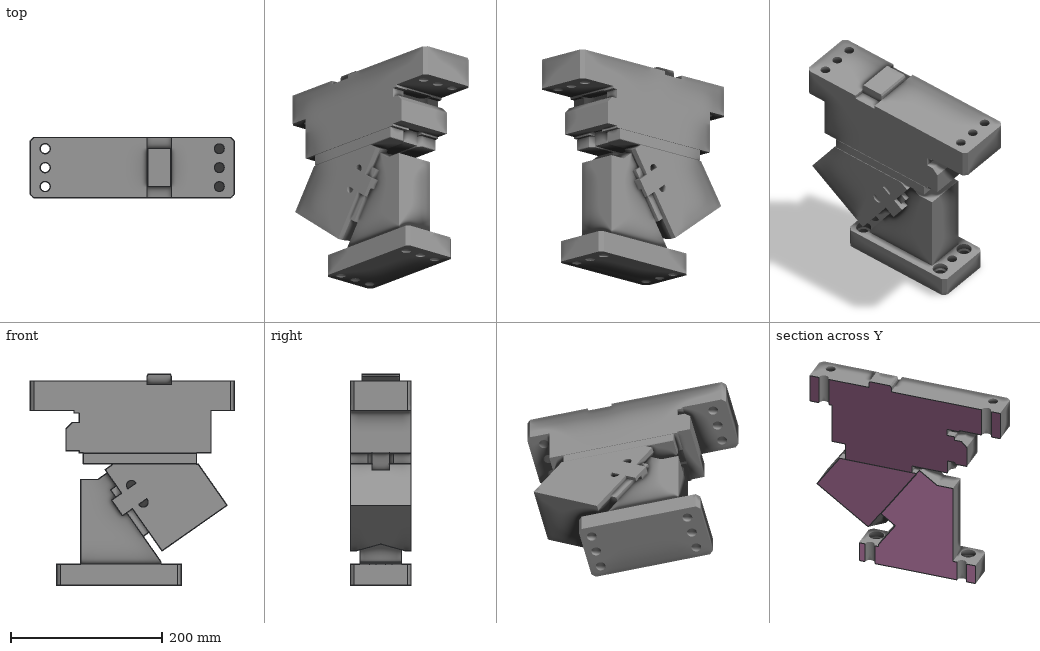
import cadquery as cq
import math


WIDTH = 80.0
HALF_WIDTH = WIDTH / 2
CORNER_CHAMFER = 5.0
BOLT_DIA = 13.0
BOLT_Y = 25.0
SEAT_ANGLE = math.radians(55)

BASE_X = 35.0
BASE_LENGTH = 165.0
BASE_HEIGHT = 28.0
BASE_HOLE_LEFT_INSET = 20.0
BASE_HOLE_RIGHT_INSET = 15.0
COUNTERBORE_DIA = 20.0
COUNTERBORE_DEPTH = 8.0
WEDGE_X = 66.8
WEDGE_END_X = 173.0
WEDGE_TOP = 140.0
WEDGE_HALF_WIDTH = 27.5
SEAT_X = 88.9
SEAT_Z = 139.4
SLOPE_STEP = 6.7
RAIL_LENGTH = 96.0
FLANGE_START = 21.0
FLANGE_HALF_WIDTH = 33.8

LAND_HEIGHT = 16.0
V_HALF_WIDTH = 32.5
V_ANGLE = math.radians(26)
V_APEX_HEIGHT = LAND_HEIGHT + V_HALF_WIDTH * math.tan(V_ANGLE)

SLIDE_START = -5.0
SLIDE_END = 126.0
SLIDE_FAR_HEIGHT = 121.0
SLIDE_TOP = 160.0
LUG_START = 33.0
LUG_END = 58.0
LUG_INNER_Y = 34.8
HOOK_LENGTH = 13.0
HOOK_INNER_Y = 28.5
RELIEF_DIA = 13.0
RELIEF_HEIGHT = 32.6
RELIEF_OFFSET = 1.0
RELIEF_DEPTH = 12.0

PLATE_LENGTH = 270.0
PLATE_BOTTOM = 230.5
PLATE_TOP = 270.0
PLATE_HOLE_INSET = 20.0
BODY_X = 65.0
BODY_END_X = 239.0
BODY_BOTTOM = 175.0
LEDGE_X = 58.0
LEDGE_BOTTOM = 227.5
NOSE_X = 47.5
NOSE_BOTTOM = 177.5
NOSE_TOP = 215.0
NOSE_CHAMFER = 8.0
POCKET_HALF_WIDTH = 21.5
POCKET_RADIUS = 10.5
POCKET_TOP = 228.5
TAB_HEIGHT = 5.0
TAB_FOOT_HALF_WIDTH = 13.0
TAB_TOP_HALF_WIDTH = 10.0
KEY_X = 154.4
KEY_LENGTH = 32.3
KEY_WIDTH = 50.0
KEY_SLOT_FLOOR = 265.0
KEY_TOP = 279.0
KEY_CHAMFER_RUN = 1.5
KEY_CHAMFER_DROP = 3.0
STRIP_X = 70.0
STRIP_LENGTH = 150.0
STRIP_EDGE_CHAMFER = 0.7
STRIP_CORNER_CHAMFER = 5.5
KEEL_HALF_WIDTH = 11.5
KEEL_X = 75.0
KEEL_RECESS_TOP = 180.0
KEEL_NOSE_BOTTOM = 161.5
KEEL_BOTTOM = 152.0
KEEL_DEEP_X = 125.0

DOWN_SLOPE = cq.Vector(math.cos(SEAT_ANGLE), 0, -math.sin(SEAT_ANGLE))
OFF_SEAT = cq.Vector(math.sin(SEAT_ANGLE), 0, math.cos(SEAT_ANGLE))
SEAT_CORNER = cq.Vector(SEAT_X, 0, SEAT_Z)


def box(x0, x1, y0, y1, z0, z1):
    return cq.Workplane("XY").box(x1 - x0, y1 - y0, z1 - z0, centered=False).translate((x0, y0, z0))


def section_along_slope(start, end, points):
    """Extrude a section of (y, height off the seat) points down the slope."""
    plane = cq.Plane(origin=SEAT_CORNER + DOWN_SLOPE * start, xDir=(0, 1, 0), normal=DOWN_SLOPE)
    return cq.Workplane(plane).polyline(points).close().extrude(end - start)


def vertical_holes(x_places, y_places, diameter, z0, z1):
    points = [(x, y) for x in x_places for y in y_places]
    return cq.Workplane("XY", origin=(0, 0, z0)).pushPoints(points).circle(diameter / 2).extrude(z1 - z0)


def v_height(y):
    """Height of the V surface off the seat at a distance y from the plane of symmetry."""
    return V_APEX_HEIGHT - y * math.tan(V_ANGLE)


def make_base():
    base_end = BASE_X + BASE_LENGTH
    base = box(BASE_X, base_end, -HALF_WIDTH, HALF_WIDTH, 0, BASE_HEIGHT)
    base = base.edges("|Z").chamfer(CORNER_CHAMFER)
    hole_x = (BASE_X + BASE_HOLE_LEFT_INSET, base_end - BASE_HOLE_RIGHT_INSET)
    holes = vertical_holes(hole_x, (-BOLT_Y, 0, BOLT_Y), BOLT_DIA, 0, BASE_HEIGHT)
    floor_z = BASE_HEIGHT - COUNTERBORE_DEPTH
    counterbores = vertical_holes(hole_x, (-BOLT_Y, BOLT_Y), COUNTERBORE_DIA, floor_z, BASE_HEIGHT)
    return base.cut(holes).cut(counterbores)


def make_wedge():
    slope_top = SEAT_CORNER + OFF_SEAT * SLOPE_STEP
    slope_end_z = slope_top.z - (WEDGE_END_X - slope_top.x) * math.tan(SEAT_ANGLE)
    outline = [
        (WEDGE_X, BASE_HEIGHT),
        (WEDGE_X, WEDGE_TOP),
        (SEAT_X + (WEDGE_TOP - SEAT_Z) * math.tan(SEAT_ANGLE), WEDGE_TOP),
        (slope_top.x, slope_top.z),
        (WEDGE_END_X, slope_end_z),
        (WEDGE_END_X, BASE_HEIGHT),
    ]
    return cq.Workplane("XZ").polyline(outline).close().extrude(WEDGE_HALF_WIDTH, both=True)


def make_rail():
    shoulder = v_height(WEDGE_HALF_WIDTH)
    rail = section_along_slope(0, RAIL_LENGTH, [
        (-WEDGE_HALF_WIDTH, 0),
        (WEDGE_HALF_WIDTH, 0),
        (WEDGE_HALF_WIDTH, shoulder),
        (0, V_APEX_HEIGHT),
        (-WEDGE_HALF_WIDTH, shoulder),
    ])
    for side in (-1, 1):
        rail = rail.union(section_along_slope(FLANGE_START, RAIL_LENGTH, [
            (side * WEDGE_HALF_WIDTH, SLOPE_STEP),
            (side * FLANGE_HALF_WIDTH, SLOPE_STEP),
            (side * FLANGE_HALF_WIDTH, LAND_HEIGHT),
            (side * V_HALF_WIDTH, LAND_HEIGHT),
            (side * WEDGE_HALF_WIDTH, shoulder),
        ]))
    return rail


def make_driver():
    return make_base().union(make_wedge()).union(make_rail())


def make_lug(side):
    """Arm that reaches past the rail flange, with a short hook under it."""
    arm = section_along_slope(LUG_START, LUG_END, [
        (side * LUG_INNER_Y, 0),
        (side * HALF_WIDTH, 0),
        (side * HALF_WIDTH, LAND_HEIGHT),
        (side * LUG_INNER_Y, LAND_HEIGHT),
    ])
    hook = section_along_slope(LUG_START, LUG_START + HOOK_LENGTH, [
        (side * HOOK_INNER_Y, 0),
        (side * HALF_WIDTH, 0),
        (side * HALF_WIDTH, SLOPE_STEP),
        (side * HOOK_INNER_Y, SLOPE_STEP),
    ])
    return arm.union(hook)


def make_reliefs(side):
    """Part-round recesses in the side face, cut off flat in line with the lug's edges."""
    start, end = LUG_START - RELIEF_OFFSET, LUG_END + RELIEF_OFFSET
    floor_y = side * (HALF_WIDTH - RELIEF_DEPTH)
    plane = cq.Plane(origin=SEAT_CORNER + cq.Vector(0, floor_y, 0), xDir=DOWN_SLOPE, normal=(0, -1, 0))
    centres = [(start, RELIEF_HEIGHT), (end, RELIEF_HEIGHT)]
    rounds = cq.Workplane(plane).pushPoints(centres).circle(RELIEF_DIA / 2).extrude(-side * RELIEF_DEPTH)
    band = section_along_slope(LUG_START, LUG_END, [
        (side * HALF_WIDTH, RELIEF_HEIGHT - RELIEF_DIA),
        (side * HALF_WIDTH, RELIEF_HEIGHT + RELIEF_DIA),
        (floor_y, RELIEF_HEIGHT + RELIEF_DIA),
        (floor_y, RELIEF_HEIGHT - RELIEF_DIA),
    ])
    return rounds.cut(band)


def make_slide():
    slide = section_along_slope(SLIDE_START, SLIDE_END, [
        (-HALF_WIDTH, LAND_HEIGHT),
        (-V_HALF_WIDTH, LAND_HEIGHT),
        (0, V_APEX_HEIGHT),
        (V_HALF_WIDTH, LAND_HEIGHT),
        (HALF_WIDTH, LAND_HEIGHT),
        (HALF_WIDTH, SLIDE_FAR_HEIGHT),
        (-HALF_WIDTH, SLIDE_FAR_HEIGHT),
    ])
    slide = slide.cut(box(0, PLATE_LENGTH, -HALF_WIDTH, HALF_WIDTH, SLIDE_TOP, PLATE_TOP))
    keel_slot = box(0, PLATE_LENGTH, -KEEL_HALF_WIDTH, KEEL_HALF_WIDTH, KEEL_BOTTOM, SLIDE_TOP)
    slide = slide.cut(keel_slot)
    for side in (-1, 1):
        slide = slide.union(make_lug(side)).cut(make_reliefs(side))
    return slide


def make_holder_plate():
    plate = box(0, PLATE_LENGTH, -HALF_WIDTH, HALF_WIDTH, PLATE_BOTTOM, PLATE_TOP)
    plate = plate.edges("|Z").chamfer(CORNER_CHAMFER)
    hole_x = (PLATE_HOLE_INSET, PLATE_LENGTH - PLATE_HOLE_INSET)
    plate = plate.cut(vertical_holes(hole_x, (-BOLT_Y, 0, BOLT_Y), BOLT_DIA, PLATE_BOTTOM, PLATE_TOP))
    slot = box(KEY_X, KEY_X + KEY_LENGTH, -HALF_WIDTH, HALF_WIDTH, KEY_SLOT_FLOOR, PLATE_TOP)
    return plate.cut(slot)


def make_key():
    key_end = KEY_X + KEY_LENGTH
    outline = [
        (KEY_X, KEY_SLOT_FLOOR),
        (KEY_X, KEY_TOP - KEY_CHAMFER_DROP),
        (KEY_X + KEY_CHAMFER_RUN, KEY_TOP),
        (key_end - KEY_CHAMFER_RUN, KEY_TOP),
        (key_end, KEY_TOP - KEY_CHAMFER_DROP),
        (key_end, KEY_SLOT_FLOOR),
    ]
    return cq.Workplane("XZ").polyline(outline).close().extrude(KEY_WIDTH / 2, both=True)


def make_holder_body():
    outline = [
        (BODY_X, BODY_BOTTOM),
        (BODY_X, NOSE_BOTTOM),
        (NOSE_X, NOSE_BOTTOM),
        (NOSE_X, NOSE_TOP - NOSE_CHAMFER),
        (NOSE_X + NOSE_CHAMFER, NOSE_TOP),
        (BODY_X, NOSE_TOP),
        (BODY_X, LEDGE_BOTTOM),
        (LEDGE_X, LEDGE_BOTTOM),
        (LEDGE_X, PLATE_BOTTOM),
        (BODY_END_X, PLATE_BOTTOM),
        (BODY_END_X, BODY_BOTTOM),
    ]
    return cq.Workplane("XZ").polyline(outline).close().extrude(HALF_WIDTH, both=True)


def make_nose_pocket():
    """Round-cornered pocket above the nose, with a tapered tab left standing on its floor."""
    pocket_end = BODY_X + POCKET_RADIUS
    pocket = box(LEDGE_X, pocket_end, -POCKET_HALF_WIDTH, POCKET_HALF_WIDTH, NOSE_TOP, POCKET_TOP)
    pocket = pocket.edges("|Z and >X").fillet(POCKET_RADIUS)
    outline = [
        (-TAB_FOOT_HALF_WIDTH, NOSE_TOP),
        (TAB_FOOT_HALF_WIDTH, NOSE_TOP),
        (TAB_TOP_HALF_WIDTH, NOSE_TOP + TAB_HEIGHT),
        (-TAB_TOP_HALF_WIDTH, NOSE_TOP + TAB_HEIGHT),
    ]
    tab = cq.Workplane("YZ", origin=(BODY_X, 0, 0)).polyline(outline).close().extrude(POCKET_RADIUS)
    return pocket.cut(tab)


def make_strips():
    """Two guide strips under the body, their edges lightly chamfered."""
    strip = box(STRIP_X, STRIP_X + STRIP_LENGTH, KEEL_HALF_WIDTH, HALF_WIDTH, SLIDE_TOP, BODY_BOTTOM)
    strip = strip.edges("|Z and <Y").chamfer(STRIP_CORNER_CHAMFER)
    strip = strip.faces("<Z or >Z").edges().chamfer(STRIP_EDGE_CHAMFER)
    return strip.union(strip.mirror("XZ"))


def make_keel():
    """Central keel between the strips; its rear part drops into the slot of the slide."""
    strip_end = STRIP_X + STRIP_LENGTH
    nose = box(KEEL_X, strip_end, -KEEL_HALF_WIDTH, KEEL_HALF_WIDTH, KEEL_NOSE_BOTTOM, BODY_BOTTOM)
    rear = box(KEEL_DEEP_X, strip_end, -KEEL_HALF_WIDTH, KEEL_HALF_WIDTH, KEEL_BOTTOM, BODY_BOTTOM)
    return nose.union(rear)


def make_holder():
    holder = make_holder_plate().union(make_key()).union(make_holder_body()).cut(make_nose_pocket())
    keel_recess = box(BODY_X, KEEL_X, -KEEL_HALF_WIDTH, KEEL_HALF_WIDTH, BODY_BOTTOM, KEEL_RECESS_TOP)
    holder = holder.cut(keel_recess)
    return holder.union(make_strips()).union(make_keel())


driver = make_driver()
slide = make_slide()
holder = make_holder()

result = cq.Compound.makeCompound([body.solids().val() for body in (driver, slide, holder)])